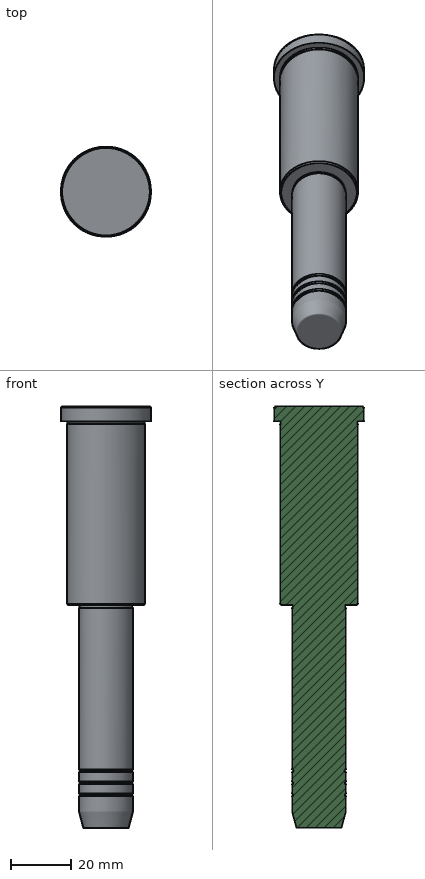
import cadquery as cq
import math

total_length = 140.0
head_height = 5.0
pin_length = 74.0

head_diameter = 30.0
body_diameter = 26.0
pin_diameter = 18.0

head_chamfer = 0.5
body_chamfer = 0.5
tip_fillet = 0.5

relief_width = 1.0
body_relief_depth = 0.3
pin_relief_depth = 0.2

groove_count = 3
groove_pitch = 4.0
groove_depth = 0.5
lowest_groove_height = 11.0

taper_length = 5.5
taper_angle = 15.0

head_bottom = total_length - head_height
body_radius = body_diameter / 2
pin_radius = pin_diameter / 2


def cylinder(diameter, bottom, height):
    """Solid cylinder on the Z axis."""
    return cq.Workplane("XY").workplane(offset=bottom).circle(diameter / 2).extrude(height)


def revolved(outline):
    """Solid of revolution about Z from (radius, height) points."""
    return cq.Workplane("XZ").polyline(outline).close().revolve(360, (0, 0, 0), (0, 1, 0))


def body_relief():
    """Ring cutter that deepens away from the head and runs out at 45 degrees."""
    run_out = head_bottom - relief_width
    return revolved([
        (body_radius, head_bottom),
        (body_radius - body_relief_depth, run_out + body_relief_depth),
        (body_radius, run_out),
    ])


def pin_relief():
    """Ring cutter that is square at the body and runs out at 45 degrees below it."""
    floor_radius = pin_radius - pin_relief_depth
    run_out = pin_length - relief_width
    return revolved([
        (pin_radius, pin_length),
        (floor_radius, pin_length),
        (floor_radius, run_out + pin_relief_depth),
        (pin_radius, run_out),
    ])


def ring_groove(center_height):
    """V-shaped ring cutter for the pin."""
    return revolved([
        (pin_radius, center_height - groove_depth),
        (pin_radius - groove_depth, center_height),
        (pin_radius, center_height + groove_depth),
    ])


def make_head():
    head = cylinder(head_diameter, head_bottom, head_height)
    return head.faces(">Z").edges().chamfer(head_chamfer)


def make_body():
    body = cylinder(body_diameter, pin_length, head_bottom - pin_length)
    body = body.faces("<Z").edges().chamfer(body_chamfer)
    return body.cut(body_relief())


def make_pin():
    tip_radius = pin_radius - taper_length * math.tan(math.radians(taper_angle))
    pin = revolved([
        (0, 0),
        (tip_radius, 0),
        (pin_radius, taper_length),
        (pin_radius, pin_length),
        (0, pin_length),
    ])
    pin = pin.faces("<Z").edges().fillet(tip_fillet)
    pin = pin.cut(pin_relief())
    for index in range(groove_count):
        pin = pin.cut(ring_groove(lowest_groove_height + index * groove_pitch))
    return pin


result = make_head().union(make_body()).union(make_pin())